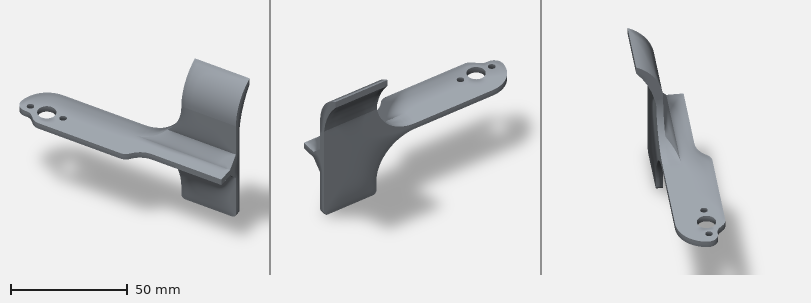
import cadquery as cq
import math

length = 100.9
thickness = 3.0

back_y = 21.7
arm_front_y = 6.2
nose_front_y = 4.4
nose_radius = 4.5
shoulder_radius = 13.7
nose_bend_x = 5.4
nose_bend_angle = 45.0
nose_bend_radius = 4.5
arm_bend_x = 54.4
arm_bend_angle = 50.0
arm_bend_front_radius = 4.8
arm_bend_back_radius = 10.3

hole_row_y = 8.2
large_hole_x = 13.3
large_hole_diameter = 8.3
small_hole_diameter = 3.2
small_hole_offset = 8.1

wall_front_y = back_y - thickness
wall_width = 27.0
wall_left_x = length - wall_width
wall_bottom_z = -27.0
wall_corner_radius = 2.0
flare_radius = 20.0
flare_left_x = wall_left_x - flare_radius
hook_top_z = 42.0
hook_back_y = 30.4
hook_front_radius = 20.2
hook_back_radius = 36.3
hook_back_start_z = 19.8
hook_tip_height = 3.3
gusset_depth = 5.0
gusset_height = 4.9


def add_s_bend(sketch, start, rise, angle_deg, first_radius, second_radius):
    """Step sideways by rise while moving along +X: arc, straight slope, opposite arc."""
    angle = math.radians(angle_deg)
    side = math.copysign(1, rise)
    x, y = start

    def arc_offset(radius, turn):
        return radius * math.sin(turn), side * radius * (1 - math.cos(turn))

    first_dx, first_dy = arc_offset(first_radius, angle)
    first_mid_dx, first_mid_dy = arc_offset(first_radius, angle / 2)
    second_dx, second_dy = arc_offset(second_radius, angle)
    second_mid_dx, second_mid_dy = arc_offset(second_radius, angle / 2)

    slope_dy = rise - first_dy - second_dy
    slope_dx = abs(slope_dy) / math.tan(angle)
    slope_start = (x + first_dx, y + first_dy)
    slope_end = (slope_start[0] + slope_dx, slope_start[1] + slope_dy)
    end = (slope_end[0] + second_dx, y + rise)

    return (
        sketch.threePointArc((x + first_mid_dx, y + first_mid_dy), slope_start)
        .lineTo(*slope_end)
        .threePointArc((end[0] - second_mid_dx, end[1] - second_mid_dy), end)
    )


def make_plate():
    """Flat plate with a rounded nose, a narrower arm and a row of three holes."""
    nose_centre_y = nose_front_y + nose_radius
    shoulder_centre_y = back_y - shoulder_radius
    centre_rise = nose_centre_y - shoulder_centre_y
    centre_distance = shoulder_radius - nose_radius
    centre_run = math.sqrt(centre_distance**2 - centre_rise**2)
    join_x = nose_radius * (1 - centre_run / centre_distance)
    join_y = nose_centre_y + nose_radius * centre_rise / centre_distance

    outline = (
        cq.Workplane("XY")
        .moveTo(nose_radius + centre_run, back_y)
        .radiusArc((join_x, join_y), -shoulder_radius)
        .radiusArc((nose_radius, nose_front_y), -nose_radius)
        .lineTo(nose_bend_x, nose_front_y)
    )
    outline = add_s_bend(
        outline, (nose_bend_x, nose_front_y), -nose_front_y,
        nose_bend_angle, nose_bend_radius, nose_bend_radius,
    )
    outline = outline.lineTo(arm_bend_x, 0)
    outline = add_s_bend(
        outline, (arm_bend_x, 0), arm_front_y,
        arm_bend_angle, arm_bend_front_radius, arm_bend_back_radius,
    )
    plate = outline.lineTo(length, arm_front_y).lineTo(length, back_y).close().extrude(thickness)

    large_hole = (
        cq.Workplane("XY").center(large_hole_x, hole_row_y)
        .circle(large_hole_diameter / 2).extrude(thickness)
    )
    small_holes = (
        cq.Workplane("XY").center(large_hole_x, hole_row_y)
        .pushPoints([(-small_hole_offset, 0), (small_hole_offset, 0)])
        .circle(small_hole_diameter / 2).extrude(thickness)
    )
    return plate.cut(large_hole).cut(small_holes)


def make_wall_section():
    """Full-length wall, hook and sloping gussets, from their shared YZ section."""
    hook_depth = hook_back_y - wall_front_y
    hook_rise = math.sqrt(hook_front_radius**2 - (hook_front_radius - hook_depth) ** 2)
    gusset_front_y = wall_front_y - gusset_depth
    return (
        cq.Workplane("YZ")
        .moveTo(back_y, wall_bottom_z)
        .lineTo(back_y, hook_back_start_z)
        .radiusArc((hook_back_y, hook_top_z - hook_tip_height), hook_back_radius)
        .lineTo(hook_back_y, hook_top_z)
        .radiusArc((wall_front_y, hook_top_z - hook_rise), -hook_front_radius)
        .lineTo(wall_front_y, thickness + gusset_height)
        .lineTo(gusset_front_y, thickness)
        .lineTo(gusset_front_y, 0)
        .lineTo(wall_front_y, -gusset_height)
        .lineTo(wall_front_y, wall_bottom_z)
        .close()
        .extrude(length)
    )


def make_wall_silhouette():
    """XZ silhouette that flares from the plate to the wall and rounds its lower corners."""
    return (
        cq.Workplane("XZ")
        .moveTo(flare_left_x, 0)
        .lineTo(flare_left_x, thickness)
        .radiusArc((wall_left_x, thickness + flare_radius), -flare_radius)
        .lineTo(wall_left_x, hook_top_z)
        .lineTo(length, hook_top_z)
        .lineTo(length, wall_bottom_z + wall_corner_radius)
        .radiusArc((length - wall_corner_radius, wall_bottom_z), wall_corner_radius)
        .lineTo(wall_left_x + wall_corner_radius, wall_bottom_z)
        .radiusArc((wall_left_x, wall_bottom_z + wall_corner_radius), wall_corner_radius)
        .lineTo(wall_left_x, -flare_radius)
        .radiusArc((flare_left_x, 0), -flare_radius)
        .close()
        .extrude(-hook_back_y)
    )


wall = make_wall_section().intersect(make_wall_silhouette())
result = make_plate().union(wall)